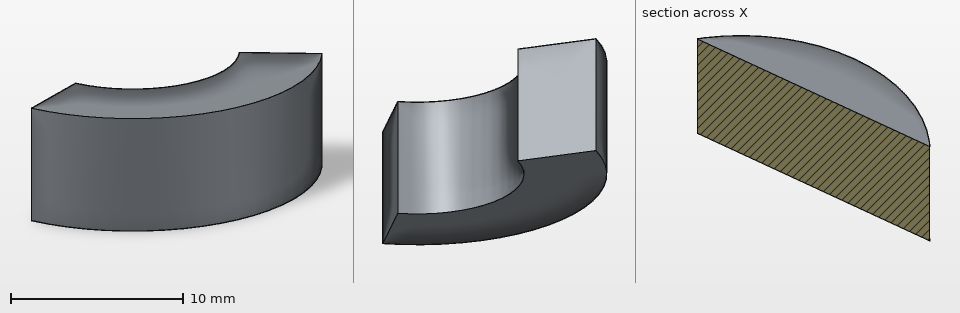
import cadquery as cq
import math

span = 19.05
inner_radius = 6.2
height = 7.0
sector_angle = 120.0

half_angle = math.radians(sector_angle / 2)
outer_radius = span / (2 * math.sin(half_angle))


def polar_point(radius, angle):
    """Point in the XY plane at a radius and angle about the ring axis."""
    return (radius * math.cos(angle), radius * math.sin(angle))


result = (
    cq.Workplane("XY")
    .moveTo(*polar_point(inner_radius, -half_angle))
    .lineTo(*polar_point(outer_radius, -half_angle))
    .threePointArc(polar_point(outer_radius, 0), polar_point(outer_radius, half_angle))
    .lineTo(*polar_point(inner_radius, half_angle))
    .threePointArc(polar_point(inner_radius, 0), polar_point(inner_radius, -half_angle))
    .close()
    .extrude(height)
)